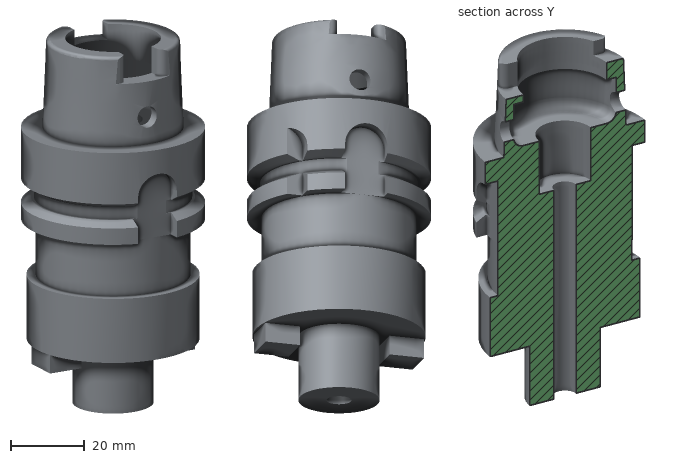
import cadquery as cq

total_height = 103.0
pilot_top = 18.1
collar_top = 36.3
flange_bottom = 52.0
flange_top = 78.0

pilot_radius = 11.0
collar_radius = 23.5
neck_radius = 21.0
flange_radius = 50.0 / 2
taper_base_radius = 19.2
taper_top_radius = 18.1
taper_rim_fillet = 1.0

groove_center_z = 60.0
groove_radius = 43.0 / 2
groove_floor_width = 3.7
groove_ledge_radius = 22.2
groove_mouth_width = 6.8

mouth_radius = 13.0
mouth_depth = 9.8
chamber_radius = 16.0
chamber_depth = 23.0
chamber_bottom_fillet = 3.0
seat_radius = 8.0
seat_depth = 39.1
through_radius = 3.4

cross_hole_radius = 3.0
cross_hole_z = 85.6

rim_slot_half_width = 5.3
lug_half_length = 16.4
lug_corner_radius = 2.1
left_slot_depth = 4.4
right_slot_depth = 7.5

flange_slot_width = 12.0
flange_slot_center_z = 65.1
flange_slot_floor_x = 21.0
notch_corner = 15.3

key_width = 10.3
key_height = 5.4
key_inner_y = 12.8
key_outer_y = 22.6


def turned_body():
    """Outside of revolution: pilot, collar, neck, grooved flange and taper."""
    floor_half = groove_floor_width / 2
    mouth_half = groove_mouth_width / 2
    profile = [
        (0, 0),
        (pilot_radius, 0),
        (pilot_radius, pilot_top),
        (collar_radius, pilot_top),
        (collar_radius, collar_top),
        (neck_radius, collar_top),
        (neck_radius, flange_bottom),
        (flange_radius, flange_bottom),
        (flange_radius, groove_center_z - mouth_half),
        (groove_ledge_radius, groove_center_z - floor_half),
        (groove_radius, groove_center_z - floor_half),
        (groove_radius, groove_center_z + floor_half),
        (groove_ledge_radius, groove_center_z + floor_half),
        (flange_radius, groove_center_z + mouth_half),
        (flange_radius, flange_top),
        (taper_base_radius, flange_top),
        (taper_top_radius, total_height),
        (0, total_height),
    ]
    body = cq.Workplane("XZ").polyline(profile).close().revolve(360, (0, 0), (0, 1))
    return body.faces(">Z").edges().fillet(taper_rim_fillet)


def stepped_bore():
    """Solid of the stepped hole along the axis."""
    chamber_bottom = total_height - chamber_depth
    seat_bottom = total_height - seat_depth
    mouth = cq.Workplane("XY", origin=(0, 0, total_height)).circle(mouth_radius).extrude(-mouth_depth)
    chamber = (
        cq.Workplane("XY", origin=(0, 0, chamber_bottom))
        .circle(chamber_radius)
        .extrude(chamber_depth - mouth_depth)
        .faces("<Z")
        .edges()
        .fillet(chamber_bottom_fillet)
    )
    seat_length = seat_depth - chamber_depth
    seat = cq.Workplane("XY", origin=(0, 0, seat_bottom)).circle(seat_radius).extrude(seat_length)
    through = cq.Workplane("XY").circle(through_radius).extrude(seat_bottom)
    return mouth.union(chamber).union(seat).union(through)


def cross_hole():
    """Cylinder along X that pierces both walls of the taper."""
    return (
        cq.Workplane("YZ")
        .center(0, cross_hole_z)
        .circle(cross_hole_radius)
        .extrude(taper_base_radius, both=True)
    )


def rim_slot(side, depth):
    """Slot in the taper rim on one side of X (side is +1 or -1), cut around the lug corners."""
    size = 2 * flange_radius
    floor_z = total_height - depth
    lug_length = size / 2
    lug_center_y = rim_slot_half_width + lug_length / 2
    slot = cq.Workplane("XY", origin=(side * size / 2, 0, floor_z)).rect(size, size).extrude(depth)
    for lug_side in (1, -1):
        lug = (
            cq.Workplane("XY", origin=(0, lug_side * lug_center_y, floor_z))
            .rect(2 * lug_half_length, lug_length)
            .extrude(depth)
            .edges("|Z")
            .fillet(lug_corner_radius)
        )
        slot = slot.cut(lug)
    return slot


def flange_slot(side, center_y, floor_x):
    """Slot in the flange with a round top, open downward, from a flat floor out along X."""
    half_width = flange_slot_width / 2
    depth = flange_radius - floor_x
    return (
        cq.Workplane("YZ", origin=(side * floor_x, center_y, 0))
        .moveTo(-half_width, flange_bottom)
        .lineTo(half_width, flange_bottom)
        .lineTo(half_width, flange_slot_center_z)
        .threePointArc((0, flange_slot_center_z + half_width), (-half_width, flange_slot_center_z))
        .close()
        .extrude(side * depth)
    )


def drive_key(side):
    """Block under the collar on one side of Y (side is +1 or -1)."""
    center_y = side * (key_inner_y + key_outer_y) / 2
    return (
        cq.Workplane("XY", origin=(0, center_y, pilot_top))
        .rect(key_width, key_outer_y - key_inner_y)
        .extrude(-key_height)
    )


result = turned_body().cut(stepped_bore()).cut(cross_hole())
result = result.cut(rim_slot(-1, left_slot_depth)).cut(rim_slot(1, right_slot_depth))

for x_side in (-1, 1):
    result = result.cut(flange_slot(x_side, 0, flange_slot_floor_x))

notch_center_y = notch_corner + flange_slot_width / 2
result = result.cut(flange_slot(-1, notch_center_y, notch_corner))

for y_side in (-1, 1):
    result = result.union(drive_key(y_side))